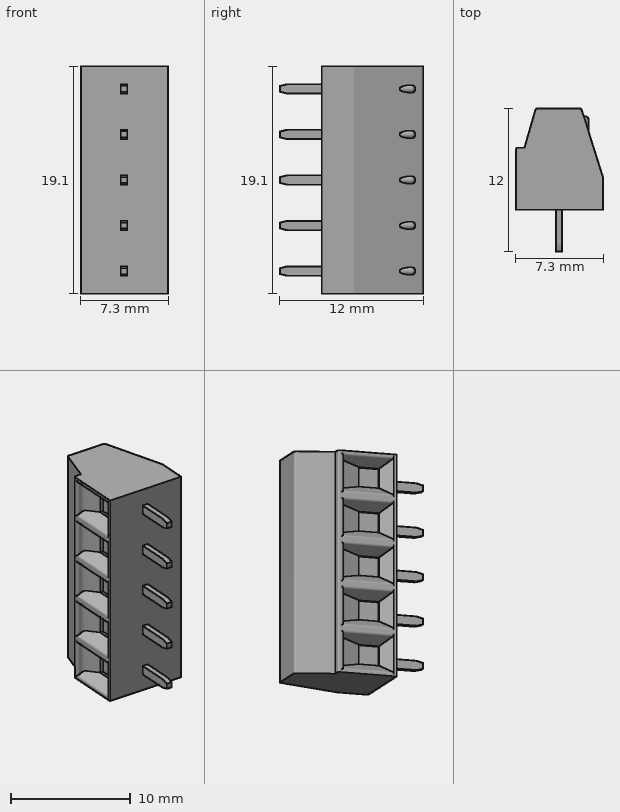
import cadquery as cq
import math

pole_count = 5
pitch = 3.81
body_height = pole_count * pitch
body_width = 7.3
body_depth = 8.5

ledge_depth = 5.2
ledge_width = 0.7
crown_left = 1.65
crown_right = 5.47
slope_start = 2.7
crown_radius = 0.25
ledge_radius = 0.15

mouth_front = 0.27
mouth_back = 4.9
mouth_height = 3.41
funnel_depth = 1.1
recess_depth = 0.29
floor_front = 1.18
floor_back = 2.97
shelf_depth = 0.55
shelf_corner_radius = 0.42
lip_radius = 0.23
back_wall = mouth_back - lip_radius
side_wall_angle = math.radians(34)

peg_radius = 0.32
peg_axis_x = 5.77
peg_tip = 7.83
peg_length = 2.29

pin_center_x = 3.6
pin_width = 0.51
pin_height = 0.8
pin_length = 3.5
pin_tip_height = 0.5
pin_tip_length = 0.61


def make_body():
    """Housing block: the stepped, sloped outline extruded upward, with its upright corners rounded."""
    crown_corners = [(crown_right, body_depth), (crown_left, body_depth)]
    ledge_corner = (0, ledge_depth)
    outline = [
        (0, 0),
        (body_width, 0),
        (body_width, slope_start),
        *crown_corners,
        (ledge_width, ledge_depth),
        ledge_corner,
    ]
    body = cq.Workplane("XY").polyline(outline).close().extrude(body_height)
    for x, y in crown_corners:
        body = round_upright_edge(body, x, y, crown_radius)
    return round_upright_edge(body, *ledge_corner, ledge_radius)


def round_upright_edge(body, x, y, radius):
    """Round the full-height edge standing at (x, y)."""
    edge = cq.selectors.NearestToPointSelector((x, y, body_height / 2))
    return body.edges(edge).fillet(radius)


def lip_arc(mouth_edge, wall_angle):
    """Middle and end of a lip rounding from (0, mouth_edge) into a wall tilted from the X axis."""
    normal_angle = math.pi / 2 - wall_angle
    points = []
    for turn in (normal_angle / 2, normal_angle):
        x = lip_radius * (1 - math.cos(turn))
        across = mouth_edge - lip_radius * math.sin(turn)
        points.append((x, across))
    return points


def make_pocket():
    """Funnel centred on z = 0: a stepped plan between two sloping side walls, ending in a straight recess."""
    plan_prism = (
        cq.Workplane("XY")
        .moveTo(0, mouth_back)
        .threePointArc(*lip_arc(mouth_back, 0))
        .lineTo(shelf_depth, back_wall)
        .lineTo(funnel_depth, floor_back)
        .lineTo(funnel_depth, floor_front)
        .lineTo(0, mouth_front)
        .close()
        .extrude(mouth_height, both=True)
    )
    inner_corner = cq.selectors.NearestToPointSelector((shelf_depth, back_wall, 0))
    plan_prism = plan_prism.edges(inner_corner).fillet(shelf_corner_radius)

    mouth_edge = mouth_height / 2
    lip_middle, lip_end = lip_arc(mouth_edge, side_wall_angle)
    floor_edge = lip_end[1] - (funnel_depth - lip_end[0]) * math.tan(side_wall_angle)
    half_section = (
        cq.Workplane("XZ")
        .lineTo(0, mouth_edge)
        .threePointArc(lip_middle, lip_end)
        .lineTo(funnel_depth, floor_edge)
        .lineTo(funnel_depth, 0)
        .close()
        .extrude(-body_depth)
    )
    section_prism = half_section.union(half_section.mirror("XY"))
    funnel = plan_prism.intersect(section_prism)

    recess_length = floor_back - floor_front
    recess = (
        cq.Workplane("YZ", origin=(funnel_depth, floor_front + recess_length / 2, 0))
        .rect(recess_length, 2 * floor_edge)
        .extrude(recess_depth)
    )
    return funnel.union(recess)


def make_pin():
    """Flat pin along -Y, centred on z = 0, with a tapered tip."""
    taper_start = pin_tip_length - pin_length
    profile = [
        (0, -pin_height / 2),
        (taper_start, -pin_height / 2),
        (-pin_length, -pin_tip_height / 2),
        (-pin_length, pin_tip_height / 2),
        (taper_start, pin_height / 2),
        (0, pin_height / 2),
    ]
    pin = cq.Workplane("YZ").polyline(profile).close().extrude(pin_width)
    return pin.translate((pin_center_x - pin_width / 2, 0, 0))


def make_peg():
    """Round peg along Y with a domed tip, centred on z = 0 and half sunk into the slope."""
    peg = cq.Workplane("XZ").circle(peg_radius).extrude(peg_length)
    dome_center = (peg_axis_x, peg_tip - peg_radius, 0)
    dome = cq.Workplane("XY").sphere(peg_radius)
    return peg.union(dome).translate(dome_center)


result = make_body()
for pole in range(pole_count):
    pole_center = (0, 0, (pole + 0.5) * pitch)
    result = result.cut(make_pocket().translate(pole_center))
    result = result.union(make_peg().translate(pole_center))
    result = result.union(make_pin().translate(pole_center))